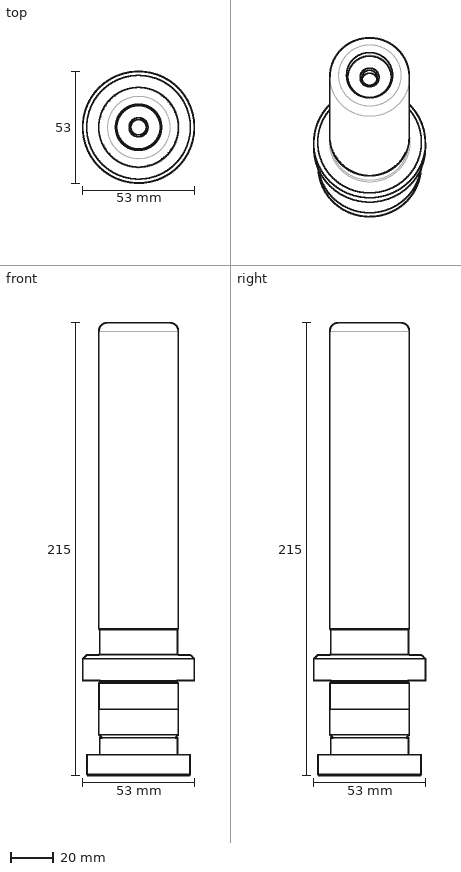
import cadquery as cq
import math

TOTAL_HEIGHT = 215.0

CAP_RADIUS = 24.5
CAP_FLANGE_HEIGHT = 10.0
CAP_HEIGHT = 18.0
CAP_EDGE_CHAMFER = 0.6

PIN_RADIUS = 19.0
NECK_RADIUS = 18.5
PIN_END_CHAMFER = 1.5
SEAT_TOP = 44.5
SEAT_TOP_CHAMFER = 0.6
SEAT_SPLIT_HEIGHT = 31.5
SEAT_SPLIT_RELIEF = 0.05
NECK_TOP = 69.9
NECK_STEP_CHAMFER = 0.6
NECK_ROOT_FILLET = 0.6
TIP_FILLET = 4.0

COLLAR_DIAMETER = 53.0
COLLAR_RADIUS = COLLAR_DIAMETER / 2
COLLAR_BOTTOM = 45.2
COLLAR_TOP = 57.5
COLLAR_CHAMFER = 2.0

RECESS_RADIUS = 10.3
RECESS_MOUTH_RADIUS = 11.0
RECESS_MOUTH_DEPTH = 2.4
RECESS_DEPTH = 5.2
CENTRE_RADIUS = 3.7
CENTRE_MOUTH_RADIUS = 4.5
CENTRE_DEPTH = 13.0
CENTRE_TIP_ANGLE = 118.0


def revolve_about_z(profile):
    """Turn a closed (radius, height) profile about the Z axis."""
    return profile.close().revolve(360, (0, 0, 0), (0, 1, 0))


def make_end_cap():
    flange = cq.Workplane("XY").circle(CAP_RADIUS).extrude(CAP_FLANGE_HEIGHT)
    flange = flange.faces("<Z").chamfer(CAP_EDGE_CHAMFER)
    neck = cq.Workplane("XY").circle(NECK_RADIUS).extrude(CAP_HEIGHT)
    return flange.union(neck)


def make_pin_blank():
    upper_seat_radius = PIN_RADIUS - SEAT_SPLIT_RELIEF
    profile = (
        cq.Workplane("XZ")
        .moveTo(0, CAP_HEIGHT)
        .lineTo(PIN_RADIUS - PIN_END_CHAMFER, CAP_HEIGHT)
        .lineTo(PIN_RADIUS, CAP_HEIGHT + PIN_END_CHAMFER)
        .lineTo(PIN_RADIUS, SEAT_SPLIT_HEIGHT)
        .lineTo(upper_seat_radius, SEAT_SPLIT_HEIGHT)
        .lineTo(upper_seat_radius, SEAT_TOP - SEAT_TOP_CHAMFER)
        .lineTo(upper_seat_radius - SEAT_TOP_CHAMFER, SEAT_TOP)
        .lineTo(upper_seat_radius - SEAT_TOP_CHAMFER, COLLAR_BOTTOM)
        .lineTo(COLLAR_RADIUS, COLLAR_BOTTOM)
        .lineTo(COLLAR_RADIUS, COLLAR_TOP - COLLAR_CHAMFER)
        .lineTo(COLLAR_RADIUS - COLLAR_CHAMFER, COLLAR_TOP)
        .lineTo(NECK_RADIUS + NECK_ROOT_FILLET, COLLAR_TOP)
        .radiusArc((NECK_RADIUS, COLLAR_TOP + NECK_ROOT_FILLET), NECK_ROOT_FILLET)
        .lineTo(NECK_RADIUS, NECK_TOP - NECK_STEP_CHAMFER)
        .lineTo(PIN_RADIUS, NECK_TOP)
        .lineTo(PIN_RADIUS, TOTAL_HEIGHT - TIP_FILLET)
        .radiusArc((PIN_RADIUS - TIP_FILLET, TOTAL_HEIGHT), -TIP_FILLET)
        .lineTo(0, TOTAL_HEIGHT)
    )
    return revolve_about_z(profile)


def make_centre_bore():
    """Tapered recess followed by a blind, cone-tipped centre hole."""
    recess_floor = TOTAL_HEIGHT - RECESS_DEPTH
    mouth_chamfer = CENTRE_MOUTH_RADIUS - CENTRE_RADIUS
    centre_floor = TOTAL_HEIGHT - CENTRE_DEPTH
    tip_depth = CENTRE_RADIUS / math.tan(math.radians(CENTRE_TIP_ANGLE / 2))
    profile = (
        cq.Workplane("XZ")
        .moveTo(0, TOTAL_HEIGHT)
        .lineTo(RECESS_MOUTH_RADIUS, TOTAL_HEIGHT)
        .lineTo(RECESS_RADIUS, TOTAL_HEIGHT - RECESS_MOUTH_DEPTH)
        .lineTo(RECESS_RADIUS, recess_floor)
        .lineTo(CENTRE_MOUTH_RADIUS, recess_floor)
        .lineTo(CENTRE_RADIUS, recess_floor - mouth_chamfer)
        .lineTo(CENTRE_RADIUS, centre_floor)
        .lineTo(0, centre_floor - tip_depth)
    )
    return revolve_about_z(profile)


end_cap = make_end_cap()
guide_pin = make_pin_blank().cut(make_centre_bore())

result = cq.Compound.makeCompound([end_cap.val(), guide_pin.val()])